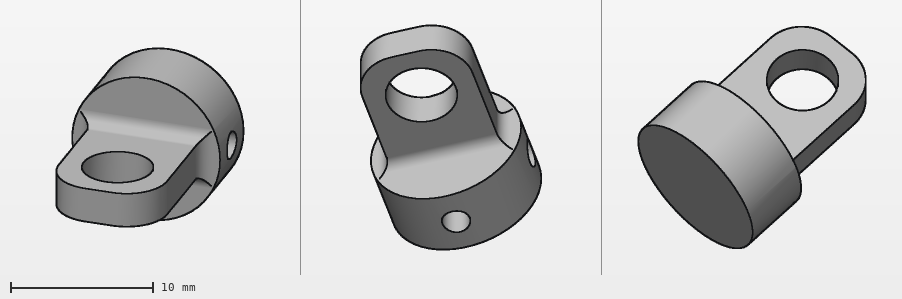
import cadquery as cq
import math

total_length = 15.0
disc_diameter = 11.0
disc_length = 5.0
tab_width = 8.05
tab_thickness = 2.58
corner_radius = 3.0
flare_radius = 1.0
eye_diameter = 5.02
eye_to_tip = 4.0
cross_hole_diameter = 2.0

tip_y = -total_length / 2
back_y = total_length / 2
disc_front_y = back_y - disc_length
cross_hole_y = back_y - disc_length / 2
disc_radius = disc_diameter / 2


def make_disc():
    return cq.Workplane("XZ", origin=(0, back_y, 0)).circle(disc_radius).extrude(disc_length)


def make_tab():
    tab = cq.Workplane("XY").box(tab_width, total_length - disc_length, tab_thickness)
    tab = tab.translate((0, (tip_y + disc_front_y) / 2, 0))
    return tab.edges("|Z and <Y").fillet(corner_radius)


def flare_prism(plane, width):
    """Extrude both ways a strip that widens through concave arcs to meet the disc."""
    half = width / 2
    neck_y = disc_front_y - flare_radius
    arc_inset = flare_radius * (1 - math.sqrt(0.5))
    foot = half + flare_radius
    mid = (half + arc_inset, disc_front_y - arc_inset)
    profile = (
        cq.Workplane(plane)
        .moveTo(-half, neck_y)
        .lineTo(half, neck_y)
        .threePointArc(mid, (foot, disc_front_y))
        .lineTo(-foot, disc_front_y)
        .threePointArc((-mid[0], mid[1]), (-half, neck_y))
        .close()
    )
    return profile.extrude(disc_radius, both=True)


def make_flare():
    """Concave fillet around the tab root, mitred at its corners and kept within the disc."""
    flare = flare_prism("XY", tab_width).intersect(flare_prism("ZY", tab_thickness))
    envelope = cq.Workplane("XZ", origin=(0, back_y, 0)).circle(disc_radius).extrude(total_length)
    return flare.intersect(envelope)


def make_eye():
    center_y = tip_y + eye_to_tip
    eye = cq.Workplane("XY").center(0, center_y).circle(eye_diameter / 2)
    return eye.extrude(tab_thickness, both=True)


def make_cross_hole(direction):
    """Radial hole from the disc axis out through the rim."""
    return cq.Workplane(
        cq.Solid.makeCylinder(
            cross_hole_diameter / 2, disc_diameter, cq.Vector(0, cross_hole_y, 0), cq.Vector(*direction)
        )
    )


result = make_disc().union(make_tab()).union(make_flare()).cut(make_eye())

for direction in ((1, 0, 0), (0, 0, -1)):
    result = result.cut(make_cross_hole(direction))